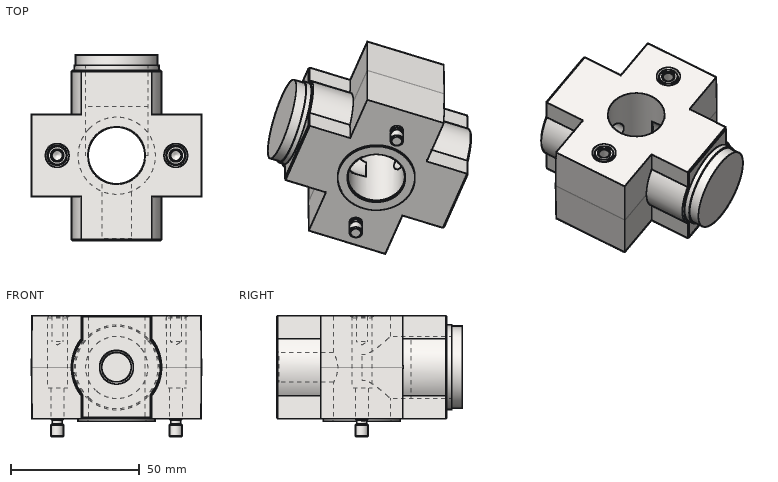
import cadquery as cq
import math


height = 40.0
top_z = height / 2
bottom_z = -height / 2
arm_span_x = 66.0
arm_width_y = 32.0
arm_draft = 0.5
trunk_length_y = 66.0
trunk_front_y = -trunk_length_y / 2
trunk_back_y = trunk_length_y / 2
trunk_flat_width = 27.2
trunk_barrel_dia = 35.0
trunk_end_chamfer = 0.5

main_bore_dia = 22.0
front_port_dia = 11.45
front_port_mouth_dia = 13.15
cross_bore_dia = 24.12

plug_inner_y = 19.0
collar_dia = 33.0
collar_thickness = 2.0
plug_head_dia = 32.0
plug_head_thickness = 4.0

seal_outer_dia = 30.0
seal_inner_dia = 22.5
seal_thickness = 1.0

screw_spacing = 46.0
screw_positions_x = (-screw_spacing / 2, screw_spacing / 2)
screw_body_dia = 7.6
screw_top_dia = 7.0
screw_body_length = 28.0
screw_thread_dia = 5.0
screw_neck_dia = 4.02
screw_overhang = 7.0
screw_thread_length = 5.0
screw_chamfer = (screw_thread_dia - screw_neck_dia) / 2
screw_socket_dia = 4.13
screw_socket_depth = 10.0
drill_point_angle = 118.0
countersink_dia = 9.2
countersink_depth = (countersink_dia - screw_body_dia) / 2


def cylinder_z(diameter, z_low, z_high):
    return cq.Workplane("XY").workplane(offset=z_low).circle(diameter / 2).extrude(z_high - z_low)


def cylinder_y(diameter, y_front, y_back):
    return cq.Workplane("XZ").workplane(offset=-y_front).circle(diameter / 2).extrude(y_front - y_back)


def cone_frustum(start_dia, end_dia, length, start, direction):
    return cq.Workplane(obj=cq.Solid.makeCone(start_dia / 2, end_dia / 2, length, start, direction))


def make_trunk():
    """Barrel with flat-sided blocks above and below, running along Y, chamfered at both ends."""
    half_flat = trunk_flat_width / 2
    barrel_radius = trunk_barrel_dia / 2
    shoulder_z = math.sqrt(barrel_radius**2 - half_flat**2)
    profile = (
        cq.Workplane("XZ")
        .workplane(offset=-trunk_back_y)
        .moveTo(-half_flat, top_z)
        .lineTo(half_flat, top_z)
        .lineTo(half_flat, shoulder_z)
        .threePointArc((barrel_radius, 0), (half_flat, -shoulder_z))
        .lineTo(half_flat, bottom_z)
        .lineTo(-half_flat, bottom_z)
        .lineTo(-half_flat, -shoulder_z)
        .threePointArc((-barrel_radius, 0), (-half_flat, shoulder_z))
        .close()
    )
    return profile.extrude(trunk_length_y).faces("<Y or >Y").chamfer(trunk_end_chamfer)


def make_arms():
    """Block along X, drafted up and down from the parting line."""
    upper = cq.Workplane("XY").rect(arm_span_x, arm_width_y).extrude(top_z, taper=arm_draft)
    return upper.union(upper.mirror("XY"))


def make_front_port():
    """Hole from the front face into the main bore, with a 45 degree mouth."""
    mouth_depth = (front_port_mouth_dia - front_port_dia) / 2
    mouth = cone_frustum(
        front_port_mouth_dia, front_port_dia, mouth_depth, cq.Vector(0, trunk_front_y, 0), cq.Vector(0, 1, 0)
    )
    return cylinder_y(front_port_dia, trunk_front_y, 0).union(mouth)


def make_screw_hole(x):
    """Stepped hole that fits the screw, countersunk at the top."""
    step_z = top_z - screw_body_length
    countersink = cone_frustum(
        countersink_dia, screw_body_dia, countersink_depth, cq.Vector(0, 0, top_z), cq.Vector(0, 0, -1)
    )
    hole = (
        cylinder_z(screw_body_dia, step_z, top_z)
        .union(cylinder_z(screw_thread_dia, bottom_z, step_z))
        .union(countersink)
    )
    return hole.translate((x, 0, 0))


def make_housing():
    body = make_trunk().union(make_arms())
    body = body.cut(cylinder_z(main_bore_dia, bottom_z, top_z))
    body = body.cut(make_front_port())
    body = body.cut(cylinder_y(cross_bore_dia, 0, trunk_back_y))
    for x in screw_positions_x:
        body = body.cut(make_screw_hole(x))
    return body


def make_collar():
    collar = cylinder_y(collar_dia, trunk_back_y, trunk_back_y + collar_thickness)
    return collar.cut(cylinder_y(cross_bore_dia, trunk_back_y, trunk_back_y + collar_thickness))


def make_plug():
    """Shank closing the cross bore, with a head that seats on the collar."""
    head_front_y = trunk_back_y + collar_thickness
    shank = cylinder_y(cross_bore_dia, plug_inner_y, head_front_y)
    head = cylinder_y(plug_head_dia, head_front_y, head_front_y + plug_head_thickness)
    return shank.union(head)


def make_seal():
    seal = cylinder_z(seal_outer_dia, bottom_z - seal_thickness, bottom_z)
    return seal.cut(cylinder_z(seal_inner_dia, bottom_z - seal_thickness, bottom_z))


def make_screw(x):
    """Turned screw: tapered top with a drilled socket, stepped shank, necked threaded tip."""
    tip_z = bottom_z - screw_overhang
    thread_top_z = tip_z + screw_thread_length
    step_z = top_z - screw_body_length
    body_radius = screw_body_dia / 2
    thread_radius = screw_thread_dia / 2
    neck_radius = screw_neck_dia / 2
    socket_radius = screw_socket_dia / 2
    socket_mouth_depth = thread_radius - socket_radius
    socket_floor_z = top_z - screw_socket_depth
    socket_point_z = socket_floor_z - socket_radius / math.tan(math.radians(drill_point_angle / 2))
    half_section = [
        (0, tip_z),
        (neck_radius, tip_z),
        (thread_radius, tip_z + screw_chamfer),
        (thread_radius, thread_top_z - screw_chamfer),
        (neck_radius, thread_top_z),
        (neck_radius, bottom_z - screw_chamfer),
        (thread_radius, bottom_z),
        (thread_radius, step_z),
        (body_radius, step_z),
        (body_radius, top_z - countersink_depth),
        (screw_top_dia / 2, top_z),
        (thread_radius, top_z),
        (socket_radius, top_z - socket_mouth_depth),
        (socket_radius, socket_floor_z),
        (0, socket_point_z),
    ]
    screw = cq.Workplane("XZ").polyline(half_section).close().revolve(360, (0, 0), (0, 1))
    return screw.translate((x, 0, 0))


housing = make_housing()
collar = make_collar()
plug = make_plug()
seal = make_seal()
screws = [make_screw(x) for x in screw_positions_x]

result = cq.Compound.makeCompound(
    [housing.val(), collar.val(), plug.val(), seal.val(), *[screw.val() for screw in screws]]
)